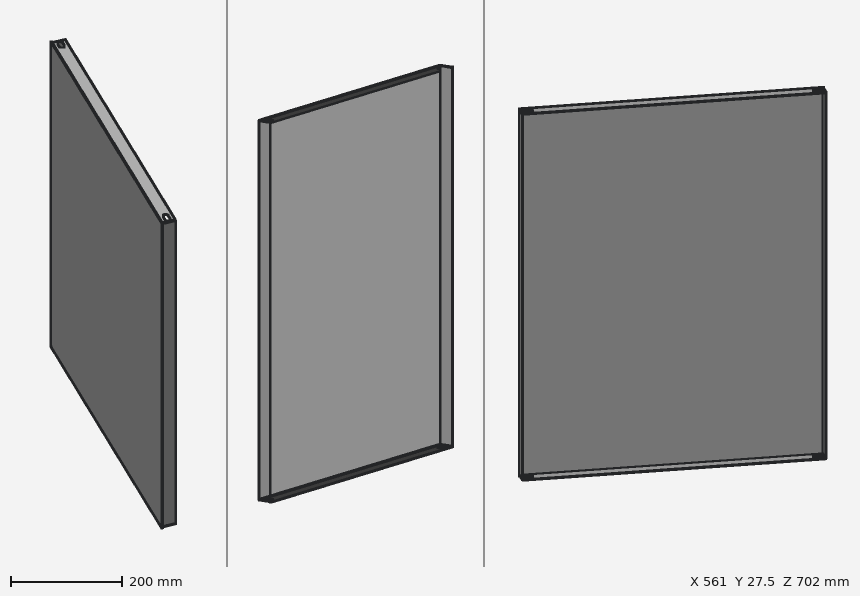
import cadquery as cq

width = 561.0
depth = 27.5
height = 702.0

sheet = 2.0
flange_inset = 0.35
corner_notch = 2.0

slot_length = 20.0
slot_width = 10.0
slot_offset = 13.0
slot_y = 15.0


def block(size_x, size_z, front_y, back_y):
    """Box centred on X and Z that spans the given range of Y."""
    return cq.Workplane("XY", origin=(0, front_y, 0)).box(
        size_x, back_y - front_y, size_z, centered=(True, False, True)
    )


def folded_tray():
    """Full-size front sheet with a ring of flanges behind it, open at the rear."""
    outer_width = width - 2 * flange_inset
    outer_height = height - 2 * flange_inset
    front_sheet = block(width, height, 0, sheet)
    flanges = block(outer_width, outer_height, sheet, depth)
    hollow = block(outer_width - 2 * sheet, outer_height - 2 * sheet, sheet, depth)
    return front_sheet.union(flanges.cut(hollow))


def corner_notches():
    """Square reliefs at the corners that separate the flanges' outer faces."""
    return (
        cq.Workplane("XZ", origin=(0, sheet, 0))
        .rect(width, height, forConstruction=True)
        .vertices()
        .rect(2 * corner_notch, 2 * corner_notch)
        .extrude(sheet - depth)
    )


def mounting_slots():
    """Two slots passing through both the top and bottom flanges."""
    slot_x = width / 2 - slot_offset
    return (
        cq.Workplane("XY", origin=(0, slot_y, -height / 2))
        .pushPoints([(-slot_x, 0), (slot_x, 0)])
        .slot2D(slot_length, slot_width)
        .extrude(height)
    )


result = folded_tray().cut(corner_notches()).cut(mounting_slots())